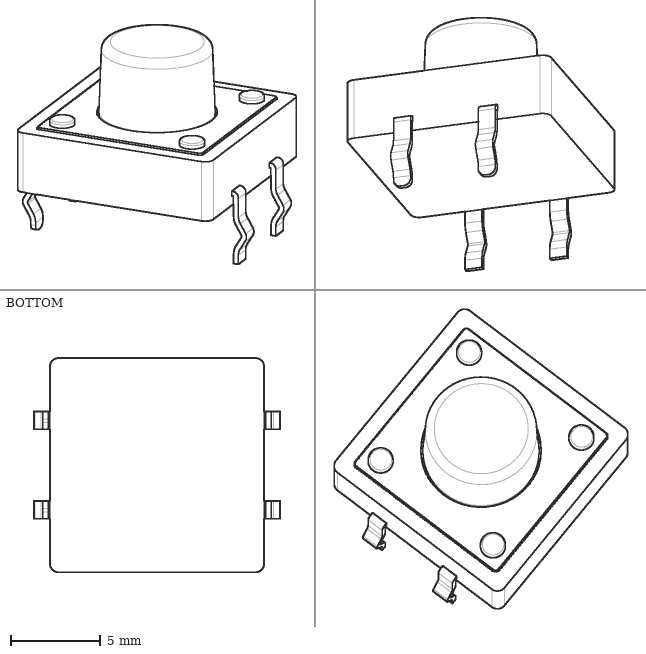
import cadquery as cq
import math


housing_width = 12.0
housing_height = 3.55
housing_corner_radius = 0.5

plate_width = 10.15
plate_thickness = 0.3
plate_rise = 0.1
plate_corner_radius = 0.19
plate_clearance = 0.05
recess_depth = plate_thickness - plate_rise
recess_floor = housing_height - recess_depth
plate_top = housing_height + plate_rise

rivet_radius = 0.7
rivet_height = 0.32
rivet_fillet = 0.1
rivet_spacing = 8.0

button_hole_radius = 3.36
button_base_radius = 3.25
button_top = 7.83
button_draft = 2
button_fillet = 0.5

pin_width = 1.0
pin_thickness = 0.3
pin_spacing = 5.0
pin_bottom = -3.46
pin_entry_top = 0.85
pin_outer_x = 6.4
pin_embed = 0.28
knee_outer_x = 6.9
knee_z = -1.77
knee_angle = math.radians(31.3)
shoulder_inner_radius = 0.05
knee_inner_radius = 0.12
neck_inner_radius = 0.68
tip_radius = 0.4


def make_pin_profile():
    """Side outline (X, Z) of the pin on the +X side, starting at its embedded end."""
    sine, cosine = math.sin(knee_angle), math.cos(knee_angle)
    half_sine, half_cosine = math.sin(knee_angle / 2), math.cos(knee_angle / 2)
    pin_inner_x = pin_outer_x - pin_thickness
    embedded_x = housing_width / 2 - pin_embed

    shoulder_outer_radius = shoulder_inner_radius + pin_thickness
    shoulder_x = pin_outer_x - shoulder_outer_radius
    shoulder_z = pin_entry_top - shoulder_outer_radius

    neck_outer_radius = neck_inner_radius + pin_thickness
    knee_outer_radius = knee_inner_radius + pin_thickness
    neck_x = pin_outer_x + neck_inner_radius
    knee_x = knee_outer_x - knee_outer_radius
    bend_radii = neck_inner_radius + knee_outer_radius
    neck_offset_z = (bend_radii - (neck_x - knee_x) * cosine) / sine
    upper_neck_z = knee_z + neck_offset_z
    lower_neck_z = knee_z - neck_offset_z

    def neck_point(radius, centre_z, x_part, z_part):
        return (neck_x - radius * x_part, centre_z + radius * z_part)

    def knee_point(radius, z_side):
        return (knee_x + radius * cosine, knee_z + z_side * radius * sine)

    def shoulder_middle(radius):
        return (shoulder_x + radius * math.sqrt(0.5), shoulder_z + radius * math.sqrt(0.5))

    return (
        cq.Workplane("XZ")
        .moveTo(embedded_x, pin_entry_top)
        .lineTo(shoulder_x, pin_entry_top)
        .threePointArc(shoulder_middle(shoulder_outer_radius), (pin_outer_x, shoulder_z))
        .lineTo(pin_outer_x, upper_neck_z)
        .threePointArc(
            neck_point(neck_inner_radius, upper_neck_z, half_cosine, -half_sine),
            neck_point(neck_inner_radius, upper_neck_z, cosine, -sine),
        )
        .lineTo(*knee_point(knee_outer_radius, 1))
        .threePointArc((knee_outer_x, knee_z), knee_point(knee_outer_radius, -1))
        .lineTo(*neck_point(neck_inner_radius, lower_neck_z, cosine, sine))
        .threePointArc(
            neck_point(neck_inner_radius, lower_neck_z, half_cosine, half_sine),
            (pin_outer_x, lower_neck_z),
        )
        .lineTo(pin_outer_x, pin_bottom)
        .lineTo(pin_inner_x, pin_bottom)
        .lineTo(pin_inner_x, lower_neck_z)
        .threePointArc(
            neck_point(neck_outer_radius, lower_neck_z, half_cosine, half_sine),
            neck_point(neck_outer_radius, lower_neck_z, cosine, sine),
        )
        .lineTo(*knee_point(knee_inner_radius, -1))
        .threePointArc((knee_x + knee_inner_radius, knee_z), knee_point(knee_inner_radius, 1))
        .lineTo(*neck_point(neck_outer_radius, upper_neck_z, cosine, -sine))
        .threePointArc(
            neck_point(neck_outer_radius, upper_neck_z, half_cosine, -half_sine),
            (pin_inner_x, upper_neck_z),
        )
        .lineTo(pin_inner_x, shoulder_z)
        .threePointArc(
            shoulder_middle(shoulder_inner_radius),
            (shoulder_x, shoulder_z + shoulder_inner_radius),
        )
        .lineTo(embedded_x, shoulder_z + shoulder_inner_radius)
        .close()
    )


def make_housing():
    """Rounded square block with the plate recess and the four pins."""
    housing = (
        cq.Workplane("XY")
        .rect(housing_width, housing_width)
        .extrude(housing_height)
        .edges("|Z")
        .fillet(housing_corner_radius)
    )

    recess_width = plate_width + 2 * plate_clearance
    recess = (
        cq.Workplane("XY", origin=(0, 0, recess_floor))
        .rect(recess_width, recess_width)
        .extrude(recess_depth)
        .edges("|Z")
        .fillet(plate_corner_radius + plate_clearance)
    )
    housing = housing.cut(recess)

    square_pin = make_pin_profile().extrude(pin_width / 2, both=True)
    rounded_pin = square_pin.mirror("YZ").faces("<Z").edges("|X").fillet(tip_radius)
    for y in (-pin_spacing / 2, pin_spacing / 2):
        housing = housing.union(square_pin.translate((0, y, 0)))
        housing = housing.union(rounded_pin.translate((0, y, 0)))
    return housing


def make_cover_plate():
    """Square plate with the button hole and a rivet head near each corner."""
    plate = (
        cq.Workplane("XY", origin=(0, 0, recess_floor))
        .rect(plate_width, plate_width)
        .extrude(plate_thickness)
        .edges("|Z")
        .fillet(plate_corner_radius)
    )
    button_hole = (
        cq.Workplane("XY", origin=(0, 0, recess_floor))
        .circle(button_hole_radius)
        .extrude(plate_thickness)
    )
    rivets = (
        cq.Workplane("XY", origin=(0, 0, plate_top))
        .rarray(rivet_spacing, rivet_spacing, 2, 2)
        .circle(rivet_radius)
        .extrude(rivet_height)
        .faces(">Z")
        .edges()
        .fillet(rivet_fillet)
    )
    return plate.cut(button_hole).union(rivets)


def make_button():
    """Round button standing on the recess floor, tapered above the plate, with a rounded top edge."""
    base = (
        cq.Workplane("XY", origin=(0, 0, recess_floor))
        .circle(button_base_radius)
        .extrude(plate_thickness)
    )
    stem = (
        cq.Workplane("XY", origin=(0, 0, plate_top))
        .circle(button_base_radius)
        .extrude(button_top - plate_top, taper=button_draft)
        .faces(">Z")
        .edges()
        .fillet(button_fillet)
    )
    return base.union(stem)


housing = make_housing()
cover_plate = make_cover_plate()
button = make_button()

result = cq.Compound.makeCompound([housing.val(), cover_plate.val(), button.val()])